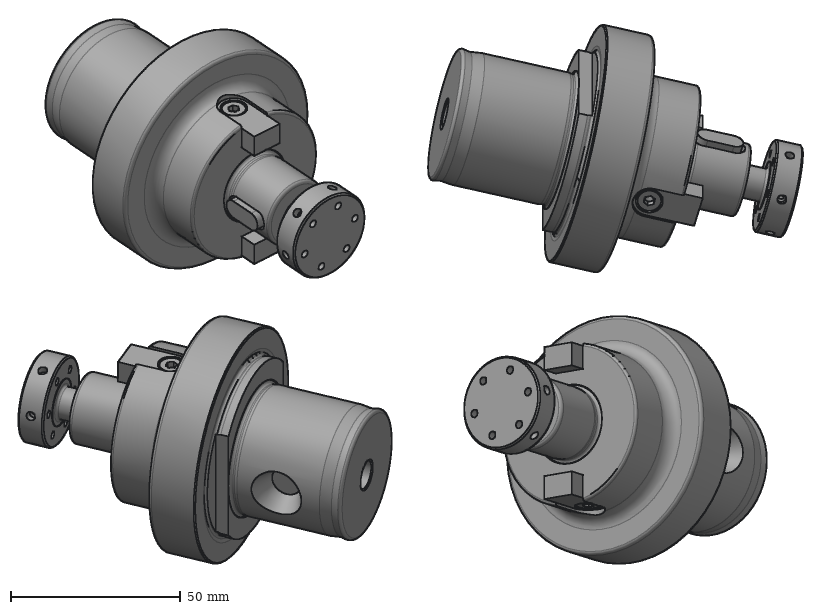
import cadquery as cq
import math


shoulder_x = 35.5
flange_x = 40.0
flange_thickness = 15.0
flange_end_x = flange_x + flange_thickness
nose_end_x = 72.0
spigot_end_x = 91.0

shank_radius = 20.0
shoulder_radius = 27.5
flange_radius = 36.0
nose_radius = 24.5
spigot_radius = 11.0

shank_end_fillet = 1.0
flange_back_chamfer = 0.4
flange_front_fillet = 1.0
nose_root_fillet = 4.0
nose_end_fillet = 0.8
spigot_end_fillet = 1.0

v_groove_bottom_x = 3.2
v_groove_end_x = 6.9
v_groove_depth = 0.42

relief_depth = 0.2
relief_radius = 1.0
relief_ramp = 0.9
shank_relief_length = 2.2
spigot_relief_length = 2.5
flange_relief_length = 1.9
relief_face_height = 1.0
flange_relief_face_height = 2.0

flat_width = 42.0
flat_end_x = flange_x - 0.4
clamp_hole_x = 20.6
clamp_hole_radius = 8.0
clamp_hole_floor_y = 12.0
clamp_hole_half_angle = 22.5
bore_radius = 4.35
bore_chamfer = 0.4

key_width = 6.0
key_length = 14.0
keyway_length = 16.0
key_middle_x = 81.0
key_height = 6.0
key_top = 12.7
keyway_floor = key_top - key_height

dog_width = 10.0
dog_height = 7.0
dog_top = 23.1
dog_floor = dog_top - dog_height
dog_end_x = 77.6
dog_screw_x = 62.6
counterbore_radius = 4.0
counterbore_depth = 4.2
dog_screw_head_radius = 3.5
dog_screw_head_height = 4.0
dog_screw_radius = 2.0
dog_screw_tip = 9.0
dog_socket_across_flats = 3.0
dog_socket_depth = 2.0
dog_socket_bottom_height = 0.9
dog_turns = (0, 180)

screw_radius = 5.0
screw_tip_x = 60.0
head_x = 97.8
head_end_x = 106.0
head_radius = 14.0
head_chamfer = 0.5
collar_radius = 7.3
collar_height = 0.2
neck_fillet = 0.8
hole_count = 6
hole_start_angle = 19.0
radial_hole_radius = 1.35
radial_hole_depth = 2.5
drill_tip_angle = 30.0
axial_hole_radius = 1.15
axial_hole_circle_radius = 10.0


def point_on_circle(center, radius, degrees):
    """Point on a circle at the given angle."""
    angle = math.radians(degrees)
    return (center[0] + radius * math.cos(angle), center[1] + radius * math.sin(angle))


def relieved_corner(profile, face_x, radius, length, face_height, face_side):
    """Draw the undercut between a cylinder and a shoulder face, working towards +X.

    face_side is 1 when the face ends the cylinder and -1 when it begins it.
    """
    root_radius = radius - relief_depth
    arc_x = face_x - face_side * (relief_radius - relief_depth)
    center = (arc_x, root_radius + relief_radius)
    ramp_start = (face_x - face_side * length, radius)
    ramp_end = (ramp_start[0] + face_side * relief_ramp, root_radius)
    arc_on_cylinder = (arc_x, root_radius)
    arc_on_face = (arc_x + face_side * relief_radius, center[1])
    face_ramp_end = (face_x, radius + face_height)
    if face_side > 0:
        profile = profile.lineTo(*ramp_start).lineTo(*ramp_end).lineTo(*arc_on_cylinder)
        profile = profile.threePointArc(point_on_circle(center, relief_radius, -45), arc_on_face)
        return profile.lineTo(*face_ramp_end)
    profile = profile.lineTo(*face_ramp_end).lineTo(*arc_on_face)
    profile = profile.threePointArc(point_on_circle(center, relief_radius, 225), arc_on_cylinder)
    return profile.lineTo(*ramp_end).lineTo(*ramp_start)


def rounded_edge(profile, face_x, radius, fillet):
    """Round a convex edge that ends a cylinder at a face on its +X side."""
    center = (face_x - fillet, radius - fillet)
    profile = profile.lineTo(center[0], radius)
    return profile.threePointArc(point_on_circle(center, fillet, 45), (face_x, center[1]))


def turned_housing():
    nose_root_center = (flange_end_x + nose_root_fillet, nose_radius + nose_root_fillet)
    nose_root_mid = point_on_circle(nose_root_center, nose_root_fillet, 225)
    shank_end_center = (shank_end_fillet, shank_radius - shank_end_fillet)
    profile = cq.Workplane("XY").lineTo(0, shank_end_center[1])
    profile = profile.threePointArc(
        point_on_circle(shank_end_center, shank_end_fillet, 135), (shank_end_fillet, shank_radius)
    )
    profile = profile.lineTo(v_groove_bottom_x, shank_radius - v_groove_depth)
    profile = profile.lineTo(v_groove_end_x, shank_radius)
    profile = relieved_corner(profile, shoulder_x, shank_radius, shank_relief_length, relief_face_height, 1)
    profile = profile.lineTo(shoulder_x, shoulder_radius)
    profile = relieved_corner(
        profile, flange_x, shoulder_radius, flange_relief_length, flange_relief_face_height, 1
    )
    profile = profile.lineTo(flange_x, flange_radius - flange_back_chamfer)
    profile = profile.lineTo(flange_x + flange_back_chamfer, flange_radius)
    profile = rounded_edge(profile, flange_end_x, flange_radius, flange_front_fillet)
    profile = profile.lineTo(flange_end_x, nose_root_center[1])
    profile = profile.threePointArc(nose_root_mid, (nose_root_center[0], nose_radius))
    profile = rounded_edge(profile, nose_end_x, nose_radius, nose_end_fillet)
    profile = relieved_corner(
        profile, nose_end_x, spigot_radius, spigot_relief_length, relief_face_height, -1
    )
    profile = rounded_edge(profile, spigot_end_x, spigot_radius, spigot_end_fillet)
    profile = profile.lineTo(spigot_end_x, 0).close()
    return profile.revolve(360, (0, 0, 0), (1, 0, 0))


def flat_cutters():
    """Blocks that leave two parallel flats on the shoulder."""
    depth = shoulder_radius
    offset = (flat_width + depth) / 2
    length = flat_end_x - shoulder_x
    return (
        cq.Workplane("XY")
        .pushPoints([((shoulder_x + flat_end_x) / 2, side * offset) for side in (-1, 1)])
        .box(length, depth, 2 * flange_radius)
    )


def clamp_hole():
    """Tapered blind hole entering the shank from +Y."""
    depth = shank_radius - clamp_hole_floor_y
    floor_radius = clamp_hole_radius - depth * math.tan(math.radians(clamp_hole_half_angle))
    cone = cq.Solid.makeCone(
        clamp_hole_radius,
        floor_radius,
        depth,
        cq.Vector(clamp_hole_x, shank_radius, 0),
        cq.Vector(0, -1, 0),
    )
    return cq.Workplane(obj=cone)


def through_bore():
    """Chamfered bore from the shank end, widening to the retaining screw."""
    return (
        cq.Workplane("XY")
        .lineTo(0, bore_radius + bore_chamfer)
        .lineTo(bore_chamfer, bore_radius)
        .lineTo(screw_tip_x, bore_radius)
        .lineTo(screw_tip_x, screw_radius)
        .lineTo(spigot_end_x, screw_radius)
        .lineTo(spigot_end_x, 0)
        .close()
        .revolve(360, (0, 0, 0), (1, 0, 0))
    )


def feather(length):
    """Round-ended bar standing on the keyway floor on the -Y side."""
    return (
        cq.Workplane("XZ", origin=(key_middle_x, -keyway_floor, 0))
        .slot2D(length, key_width)
        .extrude(key_height)
    )


def dog_block(height):
    """Bar with one round end, standing on the dog seat on the +Z side."""
    half_width = dog_width / 2
    return (
        cq.Workplane("XY", origin=(0, 0, dog_floor))
        .moveTo(dog_end_x, -half_width)
        .lineTo(dog_end_x, half_width)
        .lineTo(dog_screw_x, half_width)
        .threePointArc((dog_screw_x - half_width, 0), (dog_screw_x, -half_width))
        .close()
        .extrude(height)
    )


def upright_cylinder(radius, bottom, top):
    """Cylinder along Z on the axis of the upper dog screw."""
    return cq.Workplane("XY", origin=(dog_screw_x, 0, bottom)).circle(radius).extrude(top - bottom)


def turned_about_x(body, degrees):
    return body.rotate((0, 0, 0), (1, 0, 0), degrees)


def make_housing():
    housing = turned_housing().cut(flat_cutters()).cut(clamp_hole()).cut(through_bore())
    housing = housing.cut(feather(keyway_length))
    dog_seat = dog_block(flange_radius - dog_floor)
    tapped_hole = upright_cylinder(dog_screw_radius, dog_screw_tip, dog_floor)
    for turn in dog_turns:
        housing = housing.cut(turned_about_x(dog_seat, turn))
        housing = housing.cut(turned_about_x(tapped_hole, turn))
    return housing


def make_dog():
    dog = dog_block(dog_height)
    dog = dog.cut(upright_cylinder(dog_screw_radius, dog_floor, dog_top))
    return dog.cut(upright_cylinder(counterbore_radius, dog_top - counterbore_depth, dog_top))


def hex_socket(head_top):
    """Hexagon socket with a conical bottom and two corners in the plane X = constant."""
    across_corners = dog_socket_across_flats / math.cos(math.pi / 6)
    socket = cq.Workplane("XY").polygon(6, across_corners).extrude(-dog_socket_depth)
    bottom = cq.Workplane(obj=cq.Solid.makeCone(
        dog_socket_across_flats / 2,
        0,
        dog_socket_bottom_height,
        cq.Vector(0, 0, -dog_socket_depth),
        cq.Vector(0, 0, -1),
    ))
    socket = socket.union(bottom).rotate((0, 0, 0), (0, 0, 1), 90)
    return socket.translate((dog_screw_x, 0, head_top))


def make_dog_screw():
    head_bottom = dog_top - counterbore_depth
    head_top = head_bottom + dog_screw_head_height
    screw = upright_cylinder(dog_screw_radius, dog_screw_tip, head_bottom)
    screw = screw.union(upright_cylinder(dog_screw_head_radius, head_bottom, head_top))
    return screw.cut(hex_socket(head_top))


def radial_hole():
    """Drilled hole with a conical bottom, entering the screw head from +Z."""
    hole_bottom = head_radius - radial_hole_depth
    cone_bottom = hole_bottom - radial_hole_radius * math.tan(math.radians(drill_tip_angle))
    return (
        cq.Workplane("XZ", origin=((head_x + head_end_x) / 2, 0, 0))
        .moveTo(0, cone_bottom)
        .lineTo(radial_hole_radius, hole_bottom)
        .lineTo(radial_hole_radius, head_radius)
        .lineTo(0, head_radius)
        .close()
        .revolve(360, (0, 0, 0), (0, 1, 0))
    )


def axial_hole():
    """Hole through the screw head, parallel to X."""
    return (
        cq.Workplane("YZ", origin=(head_x, 0, axial_hole_circle_radius))
        .circle(axial_hole_radius)
        .extrude(head_end_x - head_x)
    )


def make_retaining_screw():
    collar_x = head_x - collar_height
    neck_center = (collar_x - neck_fillet, screw_radius + neck_fillet)
    screw = (
        cq.Workplane("XY")
        .moveTo(screw_tip_x, 0)
        .lineTo(screw_tip_x, screw_radius)
        .lineTo(neck_center[0], screw_radius)
        .threePointArc(point_on_circle(neck_center, neck_fillet, -45), (collar_x, neck_center[1]))
        .lineTo(collar_x, collar_radius)
        .lineTo(head_x, collar_radius)
        .lineTo(head_x, head_radius - head_chamfer)
        .lineTo(head_x + head_chamfer, head_radius)
        .lineTo(head_end_x - head_chamfer, head_radius)
        .lineTo(head_end_x, head_radius - head_chamfer)
        .lineTo(head_end_x, 0)
        .close()
        .revolve(360, (0, 0, 0), (1, 0, 0))
    )
    for index in range(hole_count):
        turn = index * 360 / hole_count - hole_start_angle
        screw = screw.cut(turned_about_x(radial_hole(), turn))
        screw = screw.cut(turned_about_x(axial_hole(), turn))
    return screw


housing = make_housing()
key = feather(key_length)
retaining_screw = make_retaining_screw()
dogs = [turned_about_x(make_dog(), turn) for turn in dog_turns]
dog_screws = [turned_about_x(make_dog_screw(), turn) for turn in dog_turns]

bodies = [housing, key, retaining_screw, *dogs, *dog_screws]
result = cq.Compound.makeCompound([body.val() for body in bodies])